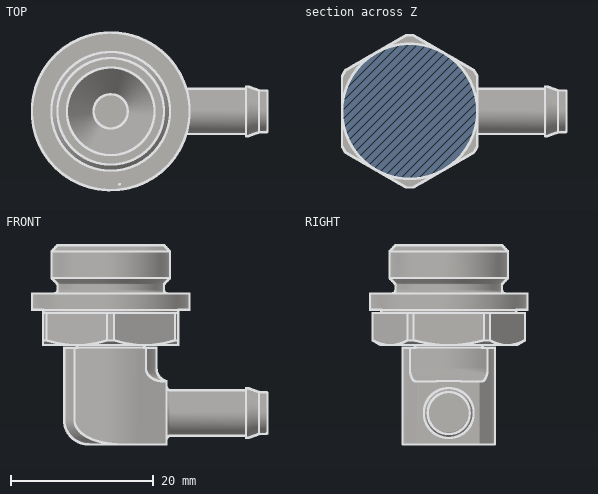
import cadquery as cq
import math


total_length = 33.08

total_height = 27.95
thread_radius = 16.66 / 2
groove_radius = 14.95 / 2
thread_chamfer_height = 0.9
thread_length = 3.7
groove_top_blend_radius = 0.2
groove_bottom_fillet = 0.5
thread_runout_angle = 45.0
flange_radius = 22.15 / 2
flange_top = 21.18
flange_thickness = 2.31
neck_height = 0.4

inlet_mouth_radius = 12.3 / 2
inlet_floor_radius = 4.8 / 2
inlet_half_angle = 30.0

hex_sides = 6
hex_across_flats = 19.0
hex_corner_radius = 10.7
hex_height = 4.55
hex_chamfer_angle = 30.0

undercut_top_radius = 4.85
undercut_bottom_radius = 4.65
undercut_height = 0.32

elbow_half_width = 6.5
elbow_back_x = -6.56
elbow_back_arc_radius = 10.0
elbow_side_arc_radius = 11.0
elbow_flat_start_x = 3.7
elbow_back_corner_y = 5.2
elbow_bottom_round = 3.5
elbow_end_x = 7.84
elbow_end_fillet = 0.3
elbow_front_x = 6.45
elbow_front_arc_radius = 10.7
elbow_shelf_height = 8.85
elbow_shelf_fillet = 1.77

barb_axis_height = 4.41
barb_tip_x = total_length - flange_radius
barb_shank_radius = 6.4 / 2
barb_lip_radius = 7.0 / 2
barb_tip_radius = 5.9 / 2
barb_base_fillet = 0.55
barb_lip_start_x = 18.94
barb_lip_edge_fillet = 0.1
barb_lip_crest_end_x = 19.24
barb_lip_blend_radius = 0.3
barb_nose_angle = 20.0
barb_tip_fillet = 0.25

fillet_middle_factor = 1 - math.sqrt(0.5)

flange_bottom = flange_top - flange_thickness
hex_top = flange_bottom - neck_height
hex_bottom = hex_top - hex_height
elbow_top = hex_bottom - undercut_height
hex_flat_radius = hex_across_flats / 2


def make_port():
    """Threaded end, groove and flange, down to the hexagon."""
    thread_top = total_height - thread_chamfer_height
    thread_bottom = thread_top - thread_length
    blend_angle = math.radians(thread_runout_angle)
    blend_start_radius = groove_radius + groove_top_blend_radius * (1 - math.cos(blend_angle))
    blend_start_z = thread_bottom - (thread_radius - blend_start_radius) * math.tan(blend_angle)
    blend_end_z = blend_start_z - groove_top_blend_radius * math.sin(blend_angle)
    half_angle = blend_angle / 2
    blend_middle = (
        groove_radius + groove_top_blend_radius * (1 - math.cos(half_angle)),
        blend_end_z + groove_top_blend_radius * math.sin(half_angle),
    )
    fillet_middle_offset = groove_bottom_fillet * fillet_middle_factor
    profile = (
        cq.Workplane("XZ")
        .moveTo(0, total_height)
        .lineTo(groove_radius, total_height)
        .lineTo(thread_radius, thread_top)
        .lineTo(thread_radius, thread_bottom)
        .lineTo(blend_start_radius, blend_start_z)
        .threePointArc(blend_middle, (groove_radius, blend_end_z))
        .lineTo(groove_radius, flange_top + groove_bottom_fillet)
        .threePointArc(
            (groove_radius + fillet_middle_offset, flange_top + fillet_middle_offset),
            (groove_radius + groove_bottom_fillet, flange_top),
        )
        .lineTo(flange_radius, flange_top)
        .lineTo(flange_radius, flange_bottom)
        .lineTo(hex_flat_radius, flange_bottom)
        .lineTo(hex_flat_radius, hex_top)
        .lineTo(0, hex_top)
        .close()
    )
    return profile.revolve(360, (0, 0, 0), (0, 1, 0))


def make_hexagon():
    """Hexagon with flats facing +X and -X, turned corners and a chamfered underside."""
    corner_diameter = hex_across_flats / math.cos(math.pi / hex_sides)
    prism = (
        cq.Workplane("XY")
        .workplane(offset=hex_bottom)
        .transformed(rotate=(0, 0, 180 / hex_sides))
        .polygon(hex_sides, corner_diameter)
        .extrude(hex_height)
    )
    chamfer_height = (hex_corner_radius - hex_flat_radius) * math.tan(math.radians(hex_chamfer_angle))
    turned_blank = (
        cq.Workplane("XZ")
        .moveTo(0, hex_bottom)
        .lineTo(hex_flat_radius, hex_bottom)
        .lineTo(hex_corner_radius, hex_bottom + chamfer_height)
        .lineTo(hex_corner_radius, hex_top)
        .lineTo(0, hex_top)
        .close()
        .revolve(360, (0, 0, 0), (0, 1, 0))
    )
    return prism.intersect(turned_blank)


def make_undercut():
    """Short tapered neck joining the hexagon to the elbow."""
    return (
        cq.Workplane("XZ")
        .moveTo(0, elbow_top)
        .lineTo(undercut_bottom_radius, elbow_top)
        .lineTo(undercut_top_radius, hex_bottom)
        .lineTo(0, hex_bottom)
        .close()
        .revolve(360, (0, 0, 0), (0, 1, 0))
    )


def make_elbow_block():
    """Upright block whose back and sides bulge, with a rounded lower back edge."""
    back_arc_center_x = elbow_back_x + elbow_back_arc_radius
    corner_x = back_arc_center_x - math.sqrt(elbow_back_arc_radius**2 - elbow_back_corner_y**2)
    corner_y = elbow_back_corner_y
    side_arc_center_y = elbow_half_width - elbow_side_arc_radius
    side_arc_center_x = corner_x + math.sqrt(
        elbow_side_arc_radius**2 - (corner_y - side_arc_center_y) ** 2
    )
    taper_angle = math.asin((elbow_flat_start_x - side_arc_center_x) / elbow_side_arc_radius)
    flat_start_y = side_arc_center_y + elbow_side_arc_radius * math.cos(taper_angle)
    end_y = flat_start_y - (elbow_end_x - elbow_flat_start_x) * math.tan(taper_angle)
    outline = (
        cq.Workplane("XY")
        .moveTo(elbow_end_x, -end_y)
        .lineTo(elbow_end_x, end_y)
        .lineTo(elbow_flat_start_x, flat_start_y)
        .threePointArc((side_arc_center_x, elbow_half_width), (corner_x, corner_y))
        .threePointArc((elbow_back_x, 0), (corner_x, -corner_y))
        .threePointArc((side_arc_center_x, -elbow_half_width), (elbow_flat_start_x, -flat_start_y))
        .close()
    )
    block = outline.extrude(elbow_top).edges("|Z and >X").fillet(elbow_end_fillet)
    rounded_drum = (
        cq.Workplane("XY")
        .center(back_arc_center_x, 0)
        .circle(elbow_back_arc_radius)
        .extrude(elbow_top)
        .faces("<Z")
        .edges()
        .fillet(elbow_bottom_round)
    )
    front_part = (
        cq.Workplane("XY")
        .center(back_arc_center_x, 0)
        .rect(elbow_back_arc_radius * 2, elbow_half_width * 2)
        .extrude(elbow_top)
        .translate((elbow_back_arc_radius, 0, 0))
    )
    return block.intersect(rounded_drum.union(front_part))


def make_shelf_cut():
    """Space above the barb: outside a convex front wall, with a fillet down to the shelf."""
    arc_center_x = elbow_front_x - elbow_front_arc_radius
    outer_radius = elbow_front_arc_radius + 2 * elbow_half_width
    fillet_middle_offset = elbow_shelf_fillet * fillet_middle_factor
    return (
        cq.Workplane("XZ")
        .moveTo(elbow_front_arc_radius, elbow_top)
        .lineTo(elbow_front_arc_radius, elbow_shelf_height + elbow_shelf_fillet)
        .threePointArc(
            (elbow_front_arc_radius + fillet_middle_offset, elbow_shelf_height + fillet_middle_offset),
            (elbow_front_arc_radius + elbow_shelf_fillet, elbow_shelf_height),
        )
        .lineTo(outer_radius, elbow_shelf_height)
        .lineTo(outer_radius, elbow_top)
        .close()
        .revolve(360, (0, 0, 0), (0, 1, 0))
        .rotate((0, 0, 0), (0, 0, 1), 180)
        .translate((arc_center_x, 0, 0))
    )


def lip_blend_point(angle):
    """Point (x, radius) on the arc that blends the lip crest into the conical nose."""
    return (
        barb_lip_crest_end_x + barb_lip_blend_radius * math.sin(angle),
        barb_lip_radius - barb_lip_blend_radius * (1 - math.cos(angle)),
    )


def make_barb():
    """Hose barb with a filleted root, a raised lip and a rounded tip."""
    base_middle_offset = barb_base_fillet * fillet_middle_factor
    edge_middle_offset = barb_lip_edge_fillet * fillet_middle_factor
    nose_angle = math.radians(barb_nose_angle)
    blend_end_x, blend_end_radius = lip_blend_point(nose_angle)
    nose_end_x = blend_end_x + (blend_end_radius - barb_tip_radius) / math.tan(nose_angle)
    tip_middle_offset = barb_tip_fillet * fillet_middle_factor
    return (
        cq.Workplane("XZ")
        .moveTo(0, 0)
        .lineTo(0, barb_shank_radius)
        .lineTo(elbow_end_x, barb_shank_radius)
        .lineTo(elbow_end_x, barb_shank_radius + barb_base_fillet)
        .threePointArc(
            (elbow_end_x + base_middle_offset, barb_shank_radius + base_middle_offset),
            (elbow_end_x + barb_base_fillet, barb_shank_radius),
        )
        .lineTo(barb_lip_start_x, barb_shank_radius)
        .lineTo(barb_lip_start_x, barb_lip_radius - barb_lip_edge_fillet)
        .threePointArc(
            (barb_lip_start_x + edge_middle_offset, barb_lip_radius - edge_middle_offset),
            (barb_lip_start_x + barb_lip_edge_fillet, barb_lip_radius),
        )
        .lineTo(barb_lip_crest_end_x, barb_lip_radius)
        .threePointArc(lip_blend_point(nose_angle / 2), (blend_end_x, blend_end_radius))
        .lineTo(nose_end_x, barb_tip_radius)
        .lineTo(barb_tip_x - barb_tip_fillet, barb_tip_radius)
        .threePointArc(
            (barb_tip_x - tip_middle_offset, barb_tip_radius - tip_middle_offset),
            (barb_tip_x, barb_tip_radius - barb_tip_fillet),
        )
        .lineTo(barb_tip_x, 0)
        .close()
        .revolve(360, (0, 0, 0), (1, 0, 0))
        .translate((0, 0, barb_axis_height))
    )


def make_inlet():
    """Conical inlet with a flat floor."""
    depth = (inlet_mouth_radius - inlet_floor_radius) / math.tan(math.radians(inlet_half_angle))
    floor_z = total_height - depth
    return (
        cq.Workplane("XZ")
        .moveTo(0, total_height)
        .lineTo(inlet_mouth_radius, total_height)
        .lineTo(inlet_floor_radius, floor_z)
        .lineTo(0, floor_z)
        .close()
        .revolve(360, (0, 0, 0), (0, 1, 0))
    )


elbow = make_elbow_block().cut(make_shelf_cut()).union(make_barb())
result = make_port().union(make_hexagon()).union(make_undercut()).union(elbow).cut(make_inlet())